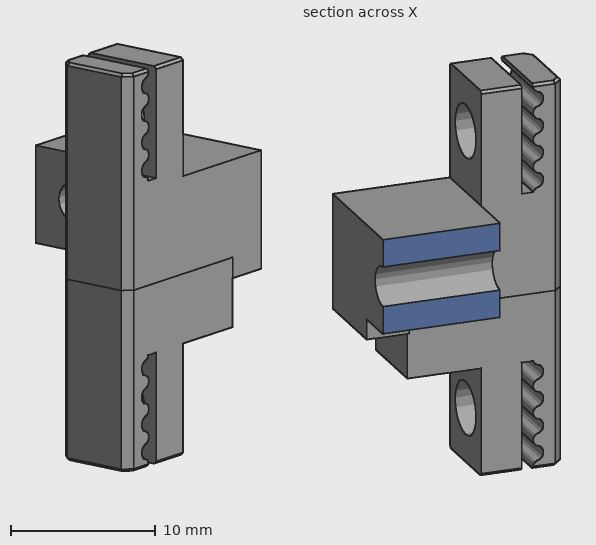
import cadquery as cq
import math


bar_width = 6.0
bar_depth = 6.1
upper_bar_height = 15.5
lower_bar_height = 13.0
corner_chamfer = 0.61
end_chamfer = 0.2

slot_length = 8.0
slot_back = 3.1
valley_y = 1.5
tooth_depth = 0.77
tooth_pitch = 2.0
valley_count = 4
valley_radius = 0.555
first_valley_offset = 0.86

insert_hole_diameter = 3.9

arm_overhang = 7.0
arm_height = 7.0
total_depth = 14.8
arm_hole_diameter = 2.9

heel_length = 5.5
heel_height = 5.0
lip_clearance = 0.05
lip_overhang = 0.45
lip_height = 1.5

arm_width = arm_overhang + bar_width
arm_length = total_depth - bar_depth
heel_back = bar_depth + heel_length
lip_front = heel_back + lip_clearance

half_pitch = tooth_pitch / 2
crest_y = valley_y + tooth_depth
radius_sum = (half_pitch**2 + tooth_depth**2) / (2 * tooth_depth)
crest_radius = radius_sum - valley_radius
tangent_y = valley_y + valley_radius * tooth_depth / radius_sum
tangent_offset = valley_radius * half_pitch / radius_sum


def box(x, y, z, width, depth, height):
    """A box whose corner with the smallest coordinates is at (x, y, z)."""
    return cq.Workplane("XY").box(width, depth, height, centered=False).translate((x, y, z))


def crest_arc_middle(valley_z, side):
    """Middle point of the half crest below (side -1) or above (side 1) a valley."""
    half_angle = math.atan2(half_pitch, radius_sum - tooth_depth) / 2
    y = crest_y - crest_radius * (1 - math.cos(half_angle))
    z = valley_z + side * (half_pitch - crest_radius * math.sin(half_angle))
    return (y, z)


def belt_slot(bar_height):
    """Slot cutter for an upright bar, with round belt teeth along its front wall."""
    floor = bar_height - slot_length

    wall_start = floor + first_valley_offset - half_pitch
    wall = cq.Workplane("YZ", origin=(arm_overhang, 0, 0)).moveTo(crest_y, wall_start)
    for index in range(valley_count):
        valley_z = floor + first_valley_offset + index * tooth_pitch
        wall = (
            wall.threePointArc(crest_arc_middle(valley_z, -1), (tangent_y, valley_z - tangent_offset))
            .threePointArc((valley_y, valley_z), (tangent_y, valley_z + tangent_offset))
            .threePointArc(crest_arc_middle(valley_z, 1), (crest_y, valley_z + half_pitch))
        )
    outline = wall.lineTo(crest_y, bar_height).lineTo(slot_back, bar_height)
    outline = outline.lineTo(slot_back, wall_start).close()

    slot_zone = box(arm_overhang, 0, floor, bar_width, bar_depth, slot_length)
    return outline.extrude(bar_width).intersect(slot_zone)


def insert_hole(bar_height):
    """Hole cutter from the back of a bar to the middle of its belt slot."""
    hole_center = (arm_overhang + bar_width / 2, slot_back, bar_height - slot_length / 2)
    return (
        cq.Workplane("XZ", origin=hole_center)
        .circle(insert_hole_diameter / 2)
        .extrude(slot_back - bar_depth)
    )


def clamp_bar(bar_height):
    """Upright bar standing on Z = 0, with chamfered edges, belt slot and insert hole."""
    bar = box(arm_overhang, 0, 0, bar_width, bar_depth, bar_height)
    bar = bar.edges("|Z and <Y").chamfer(corner_chamfer)
    bar = bar.faces(">Z").edges("not >Y").chamfer(end_chamfer)
    return bar.cut(belt_slot(bar_height)).cut(insert_hole(bar_height))


def make_upper_body():
    """Upper bar with the arm behind it and the lip that hangs behind the heel."""
    arm = box(0, bar_depth, 0, arm_width, arm_length, arm_height)
    hole = (
        cq.Workplane("XZ", origin=(arm_overhang / 2, bar_depth, arm_height / 2))
        .circle(arm_hole_diameter / 2)
        .extrude(-arm_length)
    )
    lip = box(
        arm_overhang - lip_overhang,
        lip_front,
        -lip_height,
        bar_width + lip_overhang,
        total_depth - lip_front,
        lip_height,
    )
    return clamp_bar(upper_bar_height).union(arm.cut(hole)).union(lip)


def make_lower_body():
    """Lower bar hanging from Z = 0, with the heel behind it."""
    bar = clamp_bar(lower_bar_height).mirror("XY")
    heel = box(arm_overhang, bar_depth, -heel_height, bar_width, heel_length, heel_height)
    return bar.union(heel)


upper_body = make_upper_body()
lower_body = make_lower_body()
result = cq.Compound.makeCompound([upper_body.val(), lower_body.val()])